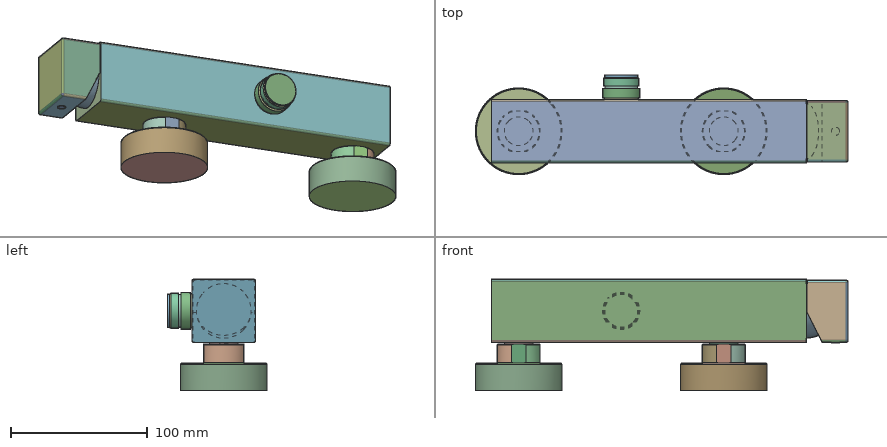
import math

import cadquery as cq

body_size = 46.5
body_left = -20.0
body_right = 210.5
body_top = 81.5
body_fillet = 1.6
body_bottom = body_top - body_size
body_mid_z = body_bottom + body_size / 2

inlet_spacing = 150.0
flange_diameter = 63.5
flange_height = 20.0
flange_chamfer = 0.8
nut_diameter = 31.5
nut_across_flats = 29.6
nut_top = 34.0
nut_chamfer = 0.6
neck_diameter = 21.0
neck_embed = 5.0

outlet_x = inlet_spacing / 2
outlet_end = 41.25
outlet_neck_radius = 12.6
outlet_collar_radius = 13.6
outlet_collar_start = 24.4
outlet_collar_end = 31.3
outlet_groove_radius = 12.0
outlet_thread_radius = 12.9
outlet_thread_start = 33.2
outlet_thread_end = 38.7
outlet_tip_radius = 12.2
outlet_tip_start = 39.5

lever_left = 211.0
lever_right = 241.0
lever_width = 45.0
lever_top = 80.7
lever_bottom = 35.2
lever_fillet = 1.6
relief_top = 57.0
relief_right = 222.0
screw_x = 231.75
screw_diameter = 6.0
screw_projection = 0.5

dome_radius = 20.0
dome_height = 15.0
dome_embed = 2.0


def make_body():
    length = body_right - body_left
    bar = cq.Workplane("XY").box(length, body_size, body_size, centered=(False, True, True))
    return bar.edges("|X").fillet(body_fillet).translate((body_left, 0, body_mid_z))


def make_inlet(x):
    flange = cq.Workplane("XY").circle(flange_diameter / 2).extrude(flange_height)
    flange = flange.faces(">Z").chamfer(flange_chamfer)
    nut = cq.Workplane("XY").workplane(offset=flange_height).circle(nut_diameter / 2)
    nut = nut.extrude(nut_top - flange_height)
    nut = nut.edges("%CIRCLE").chamfer(nut_chamfer)
    flats = cq.Workplane("XY").box(nut_diameter, nut_across_flats, nut_top, centered=(True, True, False))
    neck = cq.Workplane("XY").circle(neck_diameter / 2).extrude(body_bottom + neck_embed)
    return flange.union(nut.intersect(flats)).union(neck).translate((x, 0, 0))


def make_outlet():
    profile = [
        (0, 0),
        (outlet_neck_radius, 0),
        (outlet_neck_radius, outlet_collar_start),
        (outlet_collar_radius, outlet_collar_start),
        (outlet_collar_radius, outlet_collar_end),
        (outlet_groove_radius, outlet_collar_end),
        (outlet_groove_radius, outlet_thread_start),
        (outlet_thread_radius, outlet_thread_start),
        (outlet_thread_radius, outlet_thread_end),
        (outlet_tip_radius, outlet_tip_start),
        (outlet_tip_radius, outlet_end),
        (0, outlet_end),
    ]
    spout = cq.Workplane("XY").polyline(profile).close().revolve(360, (0, 0), (0, 1))
    return spout.translate((outlet_x, 0, body_mid_z))


def make_lever():
    height = lever_top - lever_bottom
    length = lever_right - lever_left
    block = cq.Workplane("XY").box(length, lever_width, height, centered=(False, True, False))
    block = block.edges("|X or >X").fillet(lever_fillet).translate((lever_left, 0, lever_bottom))
    relief = (
        cq.Workplane("XZ")
        .polyline([(lever_left, relief_top), (relief_right, lever_bottom), (lever_left, lever_bottom)])
        .close()
        .extrude(lever_width / 2, both=True)
    )
    screw = cq.Workplane("XY").workplane(offset=lever_bottom - screw_projection).center(screw_x, 0)
    screw = screw.circle(screw_diameter / 2).extrude(height / 2)
    return block.cut(relief).union(screw)


def make_dome():
    cap_radius = math.sqrt(dome_radius**2 - dome_height**2)
    middle_radius = math.sqrt(dome_radius**2 - (dome_height / 2) ** 2)
    half_section = (
        cq.Workplane("XY")
        .moveTo(-dome_embed, 0)
        .lineTo(-dome_embed, dome_radius)
        .lineTo(0, dome_radius)
        .threePointArc((dome_height / 2, middle_radius), (dome_height, cap_radius))
        .lineTo(dome_height, 0)
        .close()
    )
    dome = half_section.revolve(360, (0, 0), (1, 0))
    return dome.translate((body_right, 0, body_mid_z))


result = make_body().union(make_outlet()).union(make_dome()).union(make_lever())
for inlet_x in (0, inlet_spacing):
    result = result.union(make_inlet(inlet_x))